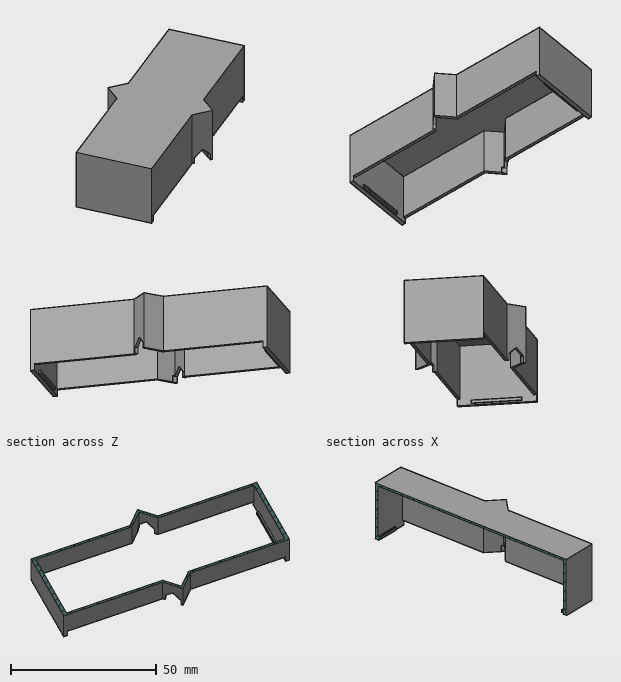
import cadquery as cq
import math

length = 85.0
body_width = 28.0
overall_width = 38.9
cover_height = 20.0
overall_height = 22.3
lip_height = overall_height - cover_height

wing_reach = (overall_width - body_width) / 2
wing_half_length = 5.3

side_wall = 1.0
end_wall = 1.5

bead_reach = 0.8
bead_bottom = 0.5
bead_height = 1.1
bead_chamfer = 0.2
bead_inset = 5.1

opening_width = 5.9
opening_shoulder = 2.2
opening_peak = 4.85
opening_depth = 1.9


def wing_outline(width, tip, half_length):
    """Return a diamond whose sides cross the body sides at +/- half_length."""
    tip_half_length = half_length * tip / (tip - width / 2)
    return cq.Workplane("XY").polyline(
        [(tip, 0), (0, tip_half_length), (-tip, 0), (0, -tip_half_length)]
    ).close()


def cross_prism(body_length, width, tip, half_length, height):
    """Extrude a long rectangular body with a pointed wing on each side."""
    body = cq.Workplane("XY").rect(width, body_length).extrude(height)
    wings = wing_outline(width, tip, half_length).extrude(height)
    return body.union(wings).translate((0, 0, lip_height))


def make_shell():
    """Build the cover, open underneath, with walls of even thickness on the wings."""
    tip = overall_width / 2
    outer = cross_prism(length, body_width, tip, wing_half_length, cover_height)

    tip_setback = side_wall * math.hypot(wing_reach, wing_half_length) / wing_half_length
    inner_width = body_width - 2 * side_wall
    inner_tip = tip - tip_setback
    inner_half_length = (inner_tip - inner_width / 2) * wing_half_length / wing_reach
    cavity = cross_prism(
        length - 2 * end_wall, inner_width, inner_tip, inner_half_length, cover_height - side_wall
    )
    return outer.cut(cavity)


def make_end_lip():
    """Build the -Y end lip with its snap bead."""
    inner_face = end_wall - length / 2
    lip = cq.Workplane("XY").box(body_width, end_wall, lip_height, centered=(True, False, False))
    lip = lip.translate((0, -length / 2, 0))
    bead = cq.Workplane("XY").box(
        body_width - 2 * bead_inset, bead_reach, bead_height, centered=(True, False, False)
    )
    bead = bead.edges(">Y and >Z").chamfer(bead_chamfer)
    return lip.union(bead.translate((0, inner_face, bead_bottom)))


def make_opening():
    """Build the cutter for the opening in the wing face toward +X and -Y."""
    face_center = (body_width / 2 + wing_reach / 2, -wing_half_length / 2, lip_height)
    face = cq.Plane(
        origin=face_center,
        xDir=(wing_reach, wing_half_length, 0),
        normal=(wing_half_length, -wing_reach, 0),
    )
    half = opening_width / 2
    return (
        cq.Workplane(face)
        .polyline([(-half, 0), (half, 0), (half, opening_shoulder),
                   (0, opening_peak), (-half, opening_shoulder)])
        .close()
        .extrude(-opening_depth)
    )


result = make_shell()
end_lip = make_end_lip()
opening = make_opening()
for turn in (0, 180):
    result = result.union(end_lip.rotate((0, 0, 0), (0, 0, 1), turn))
    result = result.cut(opening.rotate((0, 0, 0), (0, 0, 1), turn))